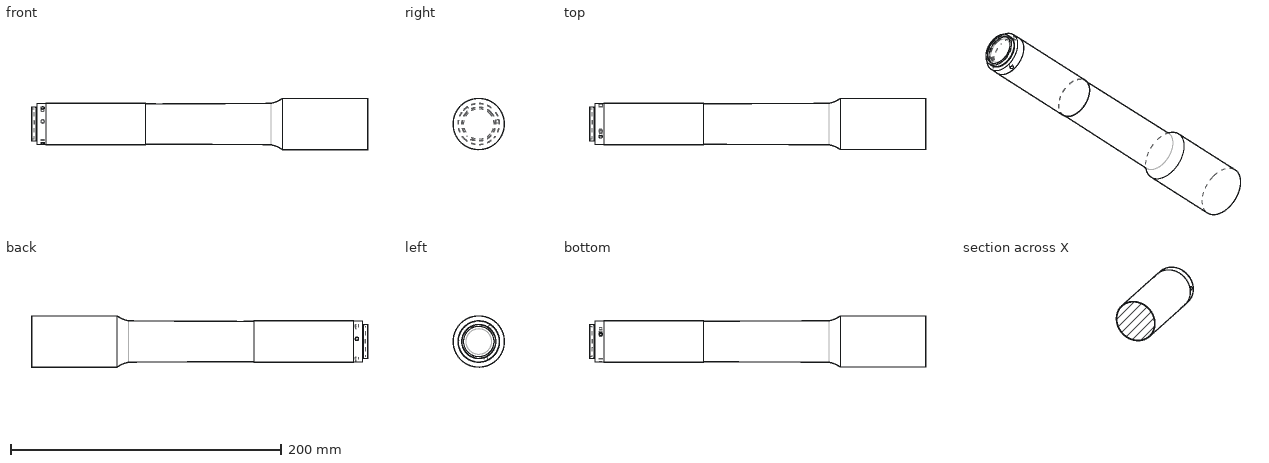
import cadquery as cq
import math

length = 248.8
body_radius = 15.5
head_diameter = 38.0
head_radius = head_diameter / 2

nose_length = 4.0
nose_radius = 12.7
neck_length = 0.7
neck_radius = 12.2

collar_end = 10.7
collar_step = 0.12
collar_radius = body_radius - collar_step

grip_start = 84.3
grip_step = 0.37
grip_start_radius = body_radius - grip_step

flare_start = 177.2
flare_end = 185.5
flare_sag = 0.5

window_bore_radius = 11.2
window_bore_depth = 1.7
dish_radius = 9.5
dish_depth = 0.37

screw_count = 3
screw_diameter = 2.5
screw_depth = 2.5
screw_x = 8.2
first_screw_angle = 52.0


def make_barrel():
    """Revolve the outer profile, drawn as X and radius, about the X axis."""
    flare_middle_x = (flare_start + flare_end) / 2
    flare_middle_radius = (body_radius + head_radius) / 2 - flare_sag
    profile = (
        cq.Workplane("XY")
        .moveTo(0, 0)
        .lineTo(0, nose_radius)
        .lineTo(nose_length - neck_length, nose_radius)
        .lineTo(nose_length - neck_length, neck_radius)
        .lineTo(nose_length, neck_radius)
        .lineTo(nose_length, collar_radius)
        .lineTo(collar_end, collar_radius)
        .lineTo(collar_end, body_radius)
        .lineTo(grip_start, body_radius)
        .lineTo(grip_start, grip_start_radius)
        .lineTo(flare_start, body_radius)
        .threePointArc((flare_middle_x, flare_middle_radius), (flare_end, head_radius))
        .lineTo(length, head_radius)
        .lineTo(length, 0)
        .close()
    )
    return profile.revolve(360, (0, 0, 0), (1, 0, 0))


def make_window():
    """Bore with a dished floor, revolved about the X axis."""
    dish_bottom = window_bore_depth + dish_depth
    sphere_radius = (dish_radius**2 + dish_depth**2) / (2 * dish_depth)
    half_angle = math.asin(dish_radius / sphere_radius) / 2
    dish_middle = (
        dish_bottom - sphere_radius * (1 - math.cos(half_angle)),
        sphere_radius * math.sin(half_angle),
    )
    profile = (
        cq.Workplane("XY")
        .moveTo(0, 0)
        .lineTo(0, window_bore_radius)
        .lineTo(window_bore_depth, window_bore_radius)
        .lineTo(window_bore_depth, dish_radius)
        .threePointArc(dish_middle, (dish_bottom, 0))
        .close()
    )
    return profile.revolve(360, (0, 0, 0), (1, 0, 0))


def make_screw_hole(angle):
    """Radial blind hole through the collar surface."""
    outward = cq.Vector(0, -math.cos(math.radians(angle)), math.sin(math.radians(angle)))
    floor = cq.Vector(screw_x, 0, 0) + outward * (collar_radius - screw_depth)
    return cq.Solid.makeCylinder(screw_diameter / 2, 2 * screw_depth, floor, outward)


result = make_barrel().cut(make_window())
for index in range(screw_count):
    result = result.cut(make_screw_hole(first_screw_angle + index * 360 / screw_count))